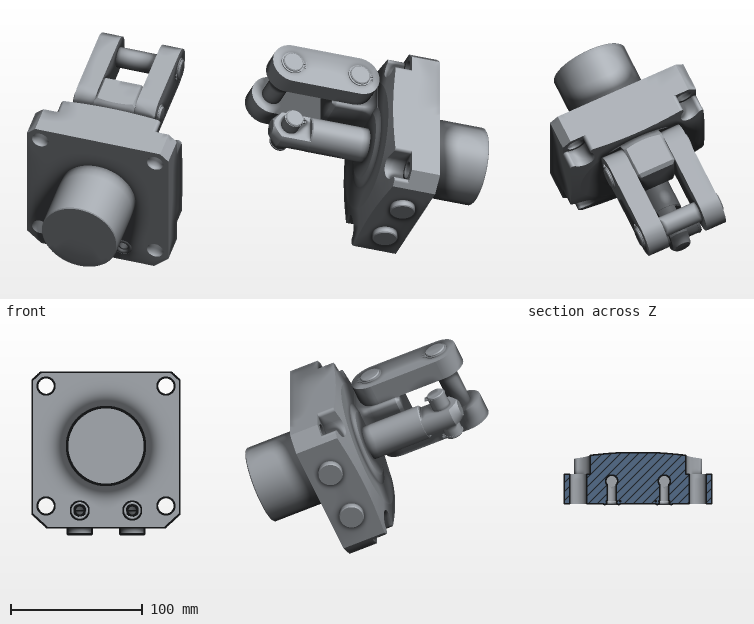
import cadquery as cq
import math


flange_half_width = 56.0
flange_top = 56.0
flange_bottom = -62.1
top_chamfer_x, top_chamfer_z = 6.5, 6.0
bottom_chamfer_x, bottom_chamfer_z = 11.4, 10.5

crown_height = 39.2
crown_flat_radius = 49.0
crown_rim_radius = 78.7
crown_slope = 0.19
plateau_height = 41.0
plateau_flat_radius = 25.7
plateau_base_radius = 32.5

cylinder_radius = 29.9
cylinder_length = 49.0
cylinder_chamfer = 0.7

bolt_offset = 45.5
bolt_hole_radius = 6.5
pocket_floor = 22.7
pocket_radius = 9.3
mouth_radius = 2.6
cut_margin = 8.7

port_x = 20.0
port_z = -49.0
port_bore_radius = 3.7
seal_recess_radius = 7.0
seal_recess_depth = 2.3
seal_ring_radius = 5.6
seal_tube_radius = 1.5
seal_protrusion = 0.5
plug_y = 17.5
plug_head_radius = 9.5
plug_bottom = -67.2
plug_chamfer = 0.7
plug_shank_radius = 4.4

link_radius = 16.0
link_thickness = 16.1
link_inner_x = 16.0
link_pin_radius = 7.9
link_pin_half_length = 34.3
link_z = flange_top - link_radius
pivot_y = 56.1
link_tip_y = 126.0
link_end_y = link_tip_y - link_radius
link_ring_radius = 9.0
link_lug_reach = 10.5
link_lug_half_width = 2.6
link_clearance = 0.3

block_bottom = 21.0
block_end = 71.7
block_end_chamfer = 2.6
block_top_chamfer = 2.0
block_bottom_fillet = 3.5
block_root_fillet = 8.4
block_foot_height = 39.5
block_foot_rim = 0.3
block_embed = 1.7
block_relief_y = 44.8

rod_radius = 13.1
rod_shoulder = 87.3
rod_chamfer = 0.9
tongue_radius = 13.0
tongue_thickness = 14.2
tongue_end = 116.5
tongue_chamfer = 6.5
tongue_root_fillet = 0.9

rod_pin_y = 103.7
rod_pin_radius = 7.0
rod_pin_half_length = 19.2
rod_ring_radius = 7.3
rod_lug_reach = 9.3
rod_lug_half_width = 2.3

pin_chamfer = 0.7
ring_thickness = 1.2
ring_end_gap = 1.4
ring_offset = 0.2
lug_gap = 1.0
lug_hole_radius = 0.5
lug_hole_inset = 1.0


def cylinder_along_y(radius, y_start, y_end, x=0.0, z=0.0):
    return cq.Workplane(cq.Solid.makeCylinder(
        radius, y_end - y_start, cq.Vector(x, y_start, z), cq.Vector(0, 1, 0)))


def cylinder_along_z(radius, z_start, z_end, x, y):
    return cq.Workplane(cq.Solid.makeCylinder(radius, z_end - z_start, cq.Vector(x, y, z_start)))


def cylinder_along_x(radius, half_length, y, z):
    return cq.Workplane(cq.Solid.makeCylinder(
        radius, 2 * half_length, cq.Vector(-half_length, y, z), cq.Vector(1, 0, 0)))


def box_between(x_range, y_range, z_range):
    return cq.Workplane().box(
        x_range[1] - x_range[0], y_range[1] - y_range[0], z_range[1] - z_range[0], centered=False
    ).translate((x_range[0], y_range[0], z_range[0]))


def make_crown():
    """Revolved solid from the mounting face to the stepped back face."""
    rim_height = crown_height - crown_slope * (crown_rim_radius - crown_flat_radius)
    return (
        cq.Workplane("XY")
        .moveTo(0, 0)
        .lineTo(crown_rim_radius, 0)
        .lineTo(crown_rim_radius, rim_height)
        .lineTo(crown_flat_radius, crown_height)
        .lineTo(plateau_base_radius, crown_height)
        .lineTo(plateau_flat_radius, plateau_height)
        .lineTo(0, plateau_height)
        .close()
        .revolve(360, (0, 0, 0), (0, 1, 0))
    )


def make_flange():
    half = flange_half_width
    outline = [
        (half - top_chamfer_x, flange_top),
        (half, flange_top - top_chamfer_z),
        (half, flange_bottom + bottom_chamfer_z),
        (half - bottom_chamfer_x, flange_bottom),
    ]
    outline += [(-x, z) for x, z in reversed(outline)]
    plate = cq.Workplane("XZ").polyline(outline).close().extrude(-plateau_height)
    return plate.intersect(make_crown())


def on_circle(center, radius, direction):
    length = math.hypot(*direction)
    return (center[0] + radius * direction[0] / length, center[1] + radius * direction[1] / length)


def mouth_center(face_normal, face_distance, side):
    """Centre of a rounding that touches a flat face and the pocket circle, seen from the bolt axis."""
    across = face_distance - mouth_radius
    along = side * math.sqrt((pocket_radius + mouth_radius) ** 2 - across ** 2)
    normal_x, normal_z = face_normal
    return (across * normal_x - along * normal_z, across * normal_z + along * normal_x)


def mouth_arc(center, face_normal):
    """Contact with the pocket circle, middle, and contact with the face of a mouth rounding."""
    contact = on_circle((0, 0), pocket_radius, center)
    distance = math.hypot(*center)
    middle_direction = (face_normal[0] - center[0] / distance, face_normal[1] - center[1] / distance)
    middle = on_circle(center, mouth_radius, middle_direction)
    face_end = on_circle(center, mouth_radius, face_normal)
    return contact, middle, face_end


def pocket_prism(profile, z_sign):
    """Extrude a right-hand pocket profile, laid out from its bolt axis, through the back of the flange."""
    prism = profile.close().extrude(-plateau_height)
    return prism.translate((bolt_offset, pocket_floor, z_sign * bolt_offset))


def make_top_pocket():
    """Round pocket whose mouths blend into the side face and the top face."""
    edge = flange_half_width - bolt_offset
    outside = edge + cut_margin
    side_normal = (1, 0)
    top_normal = (0, 1)
    side_contact, side_middle, side_end = mouth_arc(mouth_center(side_normal, edge, -1), side_normal)
    top_contact, top_middle, top_end = mouth_arc(mouth_center(top_normal, edge, 1), top_normal)
    profile = (
        cq.Workplane("XZ")
        .moveTo(*side_end)
        .threePointArc(side_middle, side_contact)
        .threePointArc(on_circle((0, 0), pocket_radius, (-1, -1)), top_contact)
        .threePointArc(top_middle, top_end)
        .lineTo(top_end[0], outside)
        .lineTo(outside, outside)
        .lineTo(outside, side_end[1])
    )
    return pocket_prism(profile, 1)


def make_bottom_pocket():
    """Pocket with a straight upper wall to the side face and a mouth that blends into the corner chamfer."""
    edge = flange_half_width - bolt_offset
    outside = edge + cut_margin
    chamfer_length = math.hypot(bottom_chamfer_x, bottom_chamfer_z)
    normal = (bottom_chamfer_z / chamfer_length, -bottom_chamfer_x / chamfer_length)
    chamfer_start_z = flange_bottom + bottom_chamfer_z + bolt_offset
    chamfer_distance = edge * normal[0] + chamfer_start_z * normal[1]
    contact, middle, face_end = mouth_arc(mouth_center(normal, chamfer_distance, -1), normal)

    wall_mouth = (edge - mouth_radius, pocket_radius + mouth_radius)
    profile = (
        cq.Workplane("XZ")
        .moveTo(edge, wall_mouth[1])
        .threePointArc(on_circle(wall_mouth, mouth_radius, (1, -1)), (wall_mouth[0], pocket_radius))
        .lineTo(0, pocket_radius)
        .threePointArc((-pocket_radius, 0), contact)
        .threePointArc(middle, face_end)
        .lineTo(face_end[0] + cut_margin * normal[0], face_end[1] + cut_margin * normal[1])
        .lineTo(outside, -outside)
        .lineTo(outside, wall_mouth[1])
    )
    return pocket_prism(profile, -1)


def make_block():
    """Pivot block flaring into a foot; a cone around the Y axis cuts it free of the flange's top edge."""
    foot_reach = block_root_fillet + block_foot_rim
    foot_half_width = link_inner_x + foot_reach
    foot_start = crown_height - block_embed
    block = box_between(
        (-link_inner_x, link_inner_x), (foot_start, block_end), (block_bottom, flange_top))
    block = block.edges("|Y and >Z").chamfer(block_top_chamfer)
    block = block.edges("|Y and <Z").fillet(block_bottom_fillet)
    block = block.faces(">Y").chamfer(block_end_chamfer)

    foot = box_between(
        (-foot_half_width, foot_half_width),
        (foot_start, block_foot_height),
        (block_bottom - foot_reach, flange_top))
    root_zone = cq.selectors.BoxSelector(
        (-link_inner_x - block_foot_rim, block_foot_height - block_foot_rim, block_bottom - block_foot_rim),
        (link_inner_x + block_foot_rim, block_foot_height + block_foot_rim, flange_top - block_top_chamfer))
    block = block.union(foot).edges(root_zone).fillet(block_root_fillet)

    relief_depth = flange_top - block_relief_y
    relief_length = block_end + relief_depth
    relief_cone = cq.Workplane(cq.Solid.makeCone(
        0, relief_length, relief_length, cq.Vector(0, -relief_depth, 0), cq.Vector(0, 1, 0)))
    return block.intersect(relief_cone)


def cut_link_clearance(housing):
    """Clearance around the pivot end of each link, round below and open to the top."""
    clearance_radius = link_radius + link_clearance
    disc = cylinder_along_x(clearance_radius, link_thickness / 2, pivot_y, link_z)
    open_top = box_between(
        (-link_thickness / 2, link_thickness / 2), (pivot_y - clearance_radius, pivot_y), (link_z, flange_top))
    clearance = disc.union(open_top)
    for side in (-1, 1):
        housing = housing.cut(clearance.translate((side * (link_inner_x + link_thickness / 2), 0, 0)))
    return housing


def add_port(housing, x):
    recess = cylinder_along_y(seal_recess_radius, 0, seal_recess_depth, x, port_z)
    bore = cylinder_along_y(port_bore_radius, 0, plug_y, x, port_z)
    passage = cylinder_along_z(plug_shank_radius, port_z, port_z + port_bore_radius, x, plug_y)
    seal = cq.Workplane(cq.Solid.makeTorus(
        seal_ring_radius, seal_tube_radius,
        cq.Vector(x, seal_tube_radius - seal_protrusion, port_z), cq.Vector(0, 1, 0)))
    shank = cylinder_along_z(plug_shank_radius, flange_bottom, port_z, x, plug_y)
    head = cylinder_along_z(plug_head_radius, plug_bottom, flange_bottom, x, plug_y)
    head = head.faces("<Z").chamfer(plug_chamfer)
    return housing.cut(recess).cut(bore).cut(passage).union(seal).union(shank).union(head)


def make_housing():
    housing = make_flange()
    for pocket in (make_top_pocket(), make_bottom_pocket()):
        housing = housing.cut(pocket).cut(pocket.mirror("YZ"))
    for x in (-bolt_offset, bolt_offset):
        for z in (-bolt_offset, bolt_offset):
            housing = housing.cut(cylinder_along_y(bolt_hole_radius, 0, plateau_height, x, z))

    cylinder = cylinder_along_y(cylinder_radius, -cylinder_length, 0).faces("<Y").chamfer(cylinder_chamfer)
    housing = housing.union(cylinder).union(make_block())
    housing = cut_link_clearance(housing)
    for x in (-port_x, port_x):
        housing = add_port(housing, x)
    return housing.cut(cylinder_along_x(link_pin_radius, link_inner_x, pivot_y, link_z))


def make_pin(radius, half_length, y, z, ring_radius, lug_reach, lug_half_width):
    """Chamfered pin along X with a lugged retaining ring near each end."""
    pin = cylinder_along_x(radius, half_length, y, z).faces("<X or >X").chamfer(pin_chamfer)
    ring_outer_x = half_length - ring_end_gap
    ring = (
        cq.Workplane("YZ")
        .center(ring_offset, 0)
        .circle(ring_radius)
        .extrude(ring_thickness)
    )
    lugs = box_between((0, ring_thickness), (-lug_reach, 0), (-lug_half_width, lug_half_width))
    gap = box_between((0, ring_thickness), (-lug_reach, -radius), (-lug_gap / 2, lug_gap / 2))
    ring = ring.union(lugs).cut(gap)
    hole_y = -lug_reach + lug_hole_inset
    hole_z = (lug_half_width + lug_gap / 2) / 2
    for side_z in (-hole_z, hole_z):
        ring = ring.cut(cylinder_along_x(lug_hole_radius, ring_thickness, hole_y, side_z))
    for inner_x in (-ring_outer_x, ring_outer_x - ring_thickness):
        pin = pin.union(ring.translate((inner_x, y, z)))
    return pin


def make_link(inner_x):
    link = (
        cq.Workplane("YZ")
        .center((pivot_y + link_end_y) / 2, link_z)
        .slot2D(link_end_y - pivot_y + 2 * link_radius, 2 * link_radius)
        .extrude(link_thickness)
    )
    return link.translate((inner_x, 0, 0))


def make_link_frame():
    """Two links joined by the pivot pin and the end pin."""
    frame = make_link(link_inner_x).union(make_link(-link_inner_x - link_thickness))
    for y in (pivot_y, link_end_y):
        frame = frame.union(make_pin(
            link_pin_radius, link_pin_half_length, y, link_z,
            link_ring_radius, link_lug_reach, link_lug_half_width))
    return frame


def make_piston_rod():
    """Round rod standing on the crown, ending in a flat tongue with a cross hole."""
    shaft = cylinder_along_y(rod_radius, plateau_height, rod_shoulder).faces(">Y").chamfer(rod_chamfer)
    tongue = cylinder_along_y(tongue_radius, rod_shoulder - rod_chamfer, tongue_end)
    tongue = tongue.faces(">Y").chamfer(tongue_chamfer)
    half_thickness = tongue_thickness / 2
    tongue = tongue.intersect(box_between(
        (-half_thickness, half_thickness),
        (rod_shoulder - rod_chamfer, tongue_end),
        (-tongue_radius, tongue_radius)))
    root_zone = cq.selectors.BoxSelector(
        (-half_thickness - rod_chamfer, rod_shoulder - rod_chamfer, -tongue_radius),
        (half_thickness + rod_chamfer, rod_shoulder + rod_chamfer, tongue_radius))
    rod = shaft.union(tongue).edges("|Z").edges(root_zone).fillet(tongue_root_fillet)
    return rod.cut(cylinder_along_x(rod_pin_radius, half_thickness, rod_pin_y, 0))


housing = make_housing()
link_frame = make_link_frame()
piston_rod = make_piston_rod()
rod_pin = make_pin(
    rod_pin_radius, rod_pin_half_length, rod_pin_y, 0,
    rod_ring_radius, rod_lug_reach, rod_lug_half_width)

result = cq.Compound.makeCompound([
    housing.val(),
    link_frame.val(),
    piston_rod.val(),
    rod_pin.val(),
])